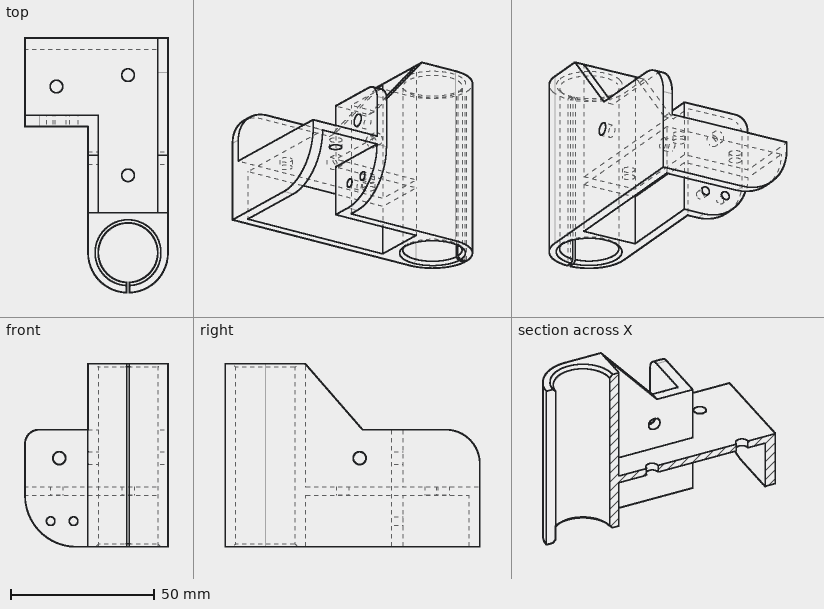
import cadquery as cq

clamp_radius = 14.0
clamp_height = 64.0
bore_radius = 10.35
bore_chamfer = 1.15
slit_width = 1.0
clamp_back_y = clamp_radius

left_x = -36.0
right_x = clamp_radius
back_y = 75.0

wall_thickness = clamp_radius - bore_radius
wall_height = 41.0
slope_foot_y = 34.0
wall_corner_radius = 12.0

shelf_bottom = 18.0
shelf_thickness = 3.0
shelf_top = shelf_bottom + shelf_thickness

plate_thickness = 4.0
front_plate_y = 44.0
front_plate_back_y = front_plate_y + plate_thickness
plate_top_radius = 5.0
plate_bottom_radius = shelf_bottom

screw_diameter = 4.4
screw_height = 31.0
wall_screw_y = 33.0
plate_screw_x = -24.0
pilot_diameter = 3.0
pilot_height = 9.0
pilot_xs = (-27.0, -19.0)

shelf_hole_points = [(-25.0, 58.0), (0.0, 62.0), (0.0, 27.0)]
shelf_hole_membrane = 0.2


def box(x_range, y_range, z_range):
    """Axis-aligned box between the given (low, high) limits."""
    low_corner = (x_range[0], y_range[0], z_range[0])
    sizes = (x_range[1] - x_range[0], y_range[1] - y_range[0], z_range[1] - z_range[0])
    return cq.Workplane("XY").box(*sizes, centered=False).translate(low_corner)


def clamp_column():
    """Solid column with a round nose and a flat back."""
    nose = cq.Workplane("XY").circle(clamp_radius).extrude(clamp_height)
    back = box((-clamp_radius, clamp_radius), (0, clamp_back_y), (0, clamp_height))
    return nose.union(back)


def side_wall(start_x, end_y):
    """Upright wall along Y whose top slopes down from the clamp."""
    return (
        cq.Workplane("YZ", origin=(start_x, 0, 0))
        .moveTo(clamp_back_y, 0)
        .lineTo(end_y, 0)
        .lineTo(end_y, wall_height)
        .lineTo(slope_foot_y, wall_height)
        .lineTo(clamp_back_y, clamp_height)
        .close()
        .extrude(wall_thickness)
    )


def left_wall():
    """Short wall that ends at the front plate."""
    return side_wall(-clamp_radius, front_plate_back_y)


def right_wall():
    """Long wall with its upper back corner rounded."""
    wall = side_wall(right_x - wall_thickness, back_y)
    return wall.faces(">Y").edges(">Z").fillet(wall_corner_radius)


def front_plate():
    """Mounting plate reaching out to the left, with both outer corners rounded."""
    plate = box((left_x, -bore_radius), (front_plate_y, front_plate_back_y), (0, wall_height))
    plate = plate.edges("|Y and <X and >Z").fillet(plate_top_radius)
    return plate.edges("|Y and <X and <Z").fillet(plate_bottom_radius)


def back_plate():
    """Plate hanging below the back edge of the shelf, with its lower outer corner rounded."""
    plate = box((left_x, right_x), (back_y - plate_thickness, back_y), (0, shelf_top))
    return plate.edges("|Y and <X and <Z").fillet(plate_bottom_radius)


def shelf():
    """L-shaped horizontal shelf joining the walls, the plates and the clamp."""
    z_range = (shelf_bottom, shelf_top)
    wide_part = box((left_x, right_x), (front_plate_y, back_y), z_range)
    narrow_part = box((-clamp_radius, right_x), (clamp_back_y, front_plate_back_y), z_range)
    return wide_part.union(narrow_part)


def clamp_bore():
    """Through bore, chamfered at both ends."""
    mouth_radius = bore_radius + bore_chamfer
    return (
        cq.Workplane("XZ")
        .moveTo(0, 0)
        .lineTo(mouth_radius, 0)
        .lineTo(bore_radius, bore_chamfer)
        .lineTo(bore_radius, clamp_height - bore_chamfer)
        .lineTo(mouth_radius, clamp_height)
        .lineTo(0, clamp_height)
        .close()
        .revolve(360, (0, 0, 0), (0, 1, 0))
    )


def clamp_slit():
    """Slit that opens the clamp at the nose over its whole height."""
    return box((-slit_width / 2, slit_width / 2), (-clamp_radius, 0), (0, clamp_height))


def wall_screw_hole():
    """Screw hole along X through both side walls."""
    return (
        cq.Workplane("YZ", origin=(-clamp_radius, wall_screw_y, screw_height))
        .circle(screw_diameter / 2)
        .extrude(right_x + clamp_radius)
    )


def front_plate_hole(x, z, diameter):
    """Hole along Y through the front plate."""
    return (
        cq.Workplane("XZ", origin=(x, front_plate_back_y, z))
        .circle(diameter / 2)
        .extrude(plate_thickness)
    )


def shelf_holes():
    """Blind holes sunk into the shelf from above."""
    return (
        cq.Workplane("XY", origin=(0, 0, shelf_bottom + shelf_hole_membrane))
        .pushPoints(shelf_hole_points)
        .circle(screw_diameter / 2)
        .extrude(shelf_thickness - shelf_hole_membrane)
    )


bracket = clamp_column()
for piece in (left_wall(), right_wall(), front_plate(), back_plate(), shelf()):
    bracket = bracket.union(piece)

bracket = bracket.cut(clamp_bore()).cut(clamp_slit())
bracket = bracket.cut(wall_screw_hole()).cut(shelf_holes())
bracket = bracket.cut(front_plate_hole(plate_screw_x, screw_height, screw_diameter))
for pilot_x in pilot_xs:
    bracket = bracket.cut(front_plate_hole(pilot_x, pilot_height, pilot_diameter))

result = bracket